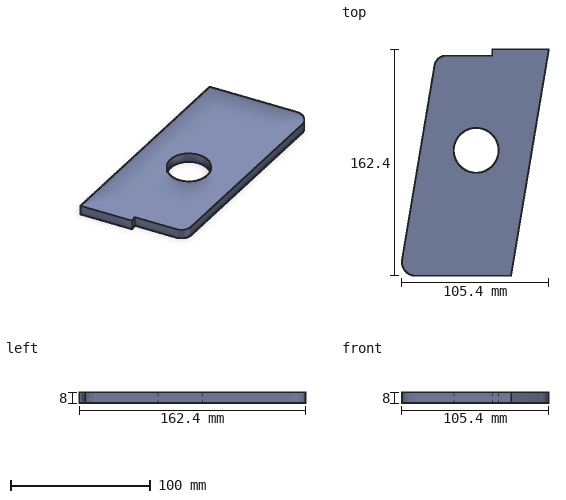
import cadquery as cq
import math

width = 105.4
length = 162.4
thickness = 8.0

bottom_right_x = 78.3
slant = math.atan2(width - bottom_right_x, length)

bottom_radius = 10.0
top_radius = 8.5

step_x = 64.6
step_depth = 4.5
shoulder_y = length - step_depth

hole_diameter = 32.0
hole_x = 53.3
hole_y = 90.0

bottom_left_x = bottom_radius - bottom_radius * (1 + math.sin(slant)) / math.cos(slant)
top_left_x = bottom_left_x + shoulder_y * math.tan(slant)


def round_corner(body, x, y, radius):
    """Round the upright edge of the plate that stands at (x, y)."""
    corner = cq.selectors.NearestToPointSelector((x, y, thickness / 2))
    return body.edges("|Z").edges(corner).fillet(radius)


plate = (
    cq.Workplane("XY")
    .moveTo(bottom_left_x, 0)
    .lineTo(bottom_right_x, 0)
    .lineTo(width, length)
    .lineTo(step_x, length)
    .lineTo(step_x, shoulder_y)
    .lineTo(top_left_x, shoulder_y)
    .close()
    .extrude(thickness)
)
plate = round_corner(plate, bottom_left_x, 0, bottom_radius)
plate = round_corner(plate, top_left_x, shoulder_y, top_radius)

hole = cq.Workplane("XY").center(hole_x, hole_y).circle(hole_diameter / 2).extrude(thickness)

result = plate.cut(hole)